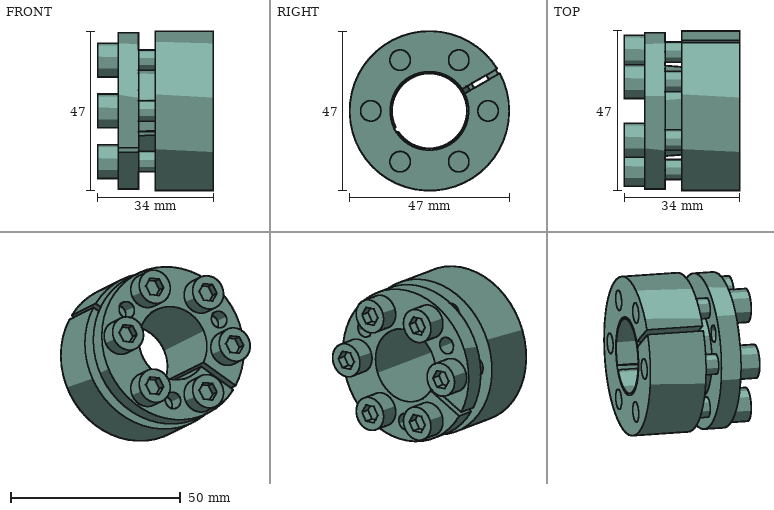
import cadquery as cq
import math

HEAD_LENGTH = 6.0
FLANGE_THICKNESS = 6.0
GAP = 4.9
RING_LENGTH = 17.1
FLANGE_FRONT = HEAD_LENGTH
FLANGE_BACK = FLANGE_FRONT + FLANGE_THICKNESS
RING_FRONT = FLANGE_BACK + GAP
RING_BACK = RING_FRONT + RING_LENGTH

RING_DIAMETER = 47.0
FLANGE_DIAMETER = 46.0
BORE_DIAMETER = 22.0
CONE_BACK_RADIUS = 11.55
CONE_FRONT_RADIUS = 13.35

SLIT_WIDTH = 1.5
RING_SLIT_ANGLE = 30
SLEEVE_SLIT_ANGLE = RING_SLIT_ANGLE + 180

PITCH_RADIUS = 17.25
SCREW_COUNT = 6
SCREW_ANGLES = [i * 360 / SCREW_COUNT for i in range(SCREW_COUNT)]
HEAD_DIAMETER = 10.0
SHANK_DIAMETER = 6.0
SHANK_LENGTH = RING_BACK - FLANGE_FRONT
SOCKET_SIDES = 6
SOCKET_FLATS = 5.0
SOCKET_DEPTH = 3.0
EXTRACTION_DIAMETER = 5.0
EXTRACTION_ANGLES = [30, 150, 270]


def x_cylinder(diameter, start, length):
    """Cylinder on the X axis, beginning at X = start."""
    return cq.Workplane("YZ", origin=(start, 0, 0)).circle(diameter / 2).extrude(length)


def on_pitch_circle(shape, angle):
    """Copy of an axial shape moved to an angle measured from +Y towards +Z."""
    turn = math.radians(angle)
    return shape.translate((0, PITCH_RADIUS * math.cos(turn), PITCH_RADIUS * math.sin(turn)))


def clamping_cone():
    """Solid cone from the flange to the back of the outer ring."""
    profile = [
        (FLANGE_BACK, 0),
        (FLANGE_BACK, CONE_FRONT_RADIUS),
        (RING_BACK, CONE_BACK_RADIUS),
        (RING_BACK, 0),
    ]
    return cq.Workplane("XY").polyline(profile).close().revolve(360, (0, 0, 0), (1, 0, 0))


def slit(angle):
    """Full-length radial slab cutting one side of a ring."""
    slab = cq.Workplane("XY").box(RING_BACK, RING_DIAMETER, SLIT_WIDTH, centered=(False, False, True))
    return slab.rotate((0, 0, 0), (1, 0, 0), angle)


def drill_shanks(body):
    """Cut the six screw shank holes."""
    shank_hole = x_cylinder(SHANK_DIAMETER, FLANGE_FRONT, SHANK_LENGTH)
    for angle in SCREW_ANGLES:
        body = body.cut(on_pitch_circle(shank_hole, angle))
    return body


def make_outer_ring():
    """Slit clamping ring with a tapered bore and the screw holes."""
    ring = x_cylinder(RING_DIAMETER, RING_FRONT, RING_LENGTH)
    ring = ring.cut(clamping_cone())
    ring = ring.cut(slit(RING_SLIT_ANGLE))
    return drill_shanks(ring)


def make_inner_sleeve():
    """Slit flange with a tapered sleeve that fits the bore of the outer ring."""
    sleeve = x_cylinder(FLANGE_DIAMETER, FLANGE_FRONT, FLANGE_THICKNESS)
    sleeve = sleeve.union(clamping_cone())
    sleeve = sleeve.cut(x_cylinder(BORE_DIAMETER, FLANGE_FRONT, SHANK_LENGTH))
    sleeve = sleeve.cut(slit(SLEEVE_SLIT_ANGLE))
    extraction_hole = x_cylinder(EXTRACTION_DIAMETER, FLANGE_FRONT, FLANGE_THICKNESS)
    for angle in EXTRACTION_ANGLES:
        sleeve = sleeve.cut(on_pitch_circle(extraction_hole, angle))
    return drill_shanks(sleeve)


def make_screw(angle):
    """Socket head cap screw with two corners of its hexagon along Y."""
    socket_corners = SOCKET_FLATS / math.cos(math.pi / SOCKET_SIDES)
    socket = cq.Workplane("YZ").polygon(SOCKET_SIDES, socket_corners).extrude(SOCKET_DEPTH)
    head = x_cylinder(HEAD_DIAMETER, 0, HEAD_LENGTH).cut(socket)
    screw = head.union(x_cylinder(SHANK_DIAMETER, FLANGE_FRONT, SHANK_LENGTH))
    return on_pitch_circle(screw, angle)


outer_ring = make_outer_ring()
inner_sleeve = make_inner_sleeve()
screws = [make_screw(angle) for angle in SCREW_ANGLES]

result = cq.Compound.makeCompound(
    [outer_ring.val(), inner_sleeve.val(), *[screw.val() for screw in screws]]
)